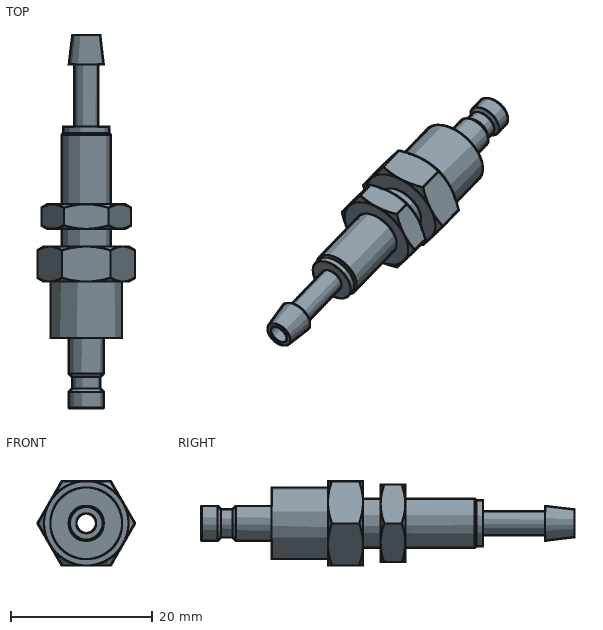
import cadquery as cq
import math

TOTAL_LENGTH = 53.0
BORE_DIAMETER = 2.75

PLUG_DIAMETER = 5.0
PLUG_TIP_CHAMFER = 0.15
GROOVE_DIAMETER = 4.05
GROOVE_START = 2.4
GROOVE_END = 5.0
GROOVE_BEVEL = (PLUG_DIAMETER - GROOVE_DIAMETER) / 2

SLEEVE_DIAMETER = 10.2
SLEEVE_START = 10.0
HEX_START = 18.0
HEX_LENGTH = 5.0
HEX_ACROSS_FLATS = 12.0
SHANK_DIAMETER = 7.0
SHANK_END = 38.8

COLLAR_DIAMETER = 6.55
COLLAR_START = 39.1
COLLAR_END = 40.0
STEM_DIAMETER = 3.45
BARB_START = 48.8
BARB_BASE_DIAMETER = 5.0
BARB_TIP_DIAMETER = 4.0

NUT_START = 25.5
NUT_LENGTH = 3.5
NUT_ACROSS_FLATS = 11.0

HEX_CHAMFER_ANGLE = 30.0


def revolve_profile(points):
    """Revolve (radius, y) points about the Y axis."""
    return cq.Workplane("XY").polyline(points).close().revolve(360, (0, 0), (0, 1))


def cylinder_along_y(diameter, start, end):
    return cq.Workplane("XZ", origin=(0, start, 0)).circle(diameter / 2).extrude(start - end)


def chamfered_hexagon(across_flats, start, length):
    """Hexagonal prism with corners on +/-X and conical chamfers at both ends."""
    flat_radius = across_flats / 2
    corner_radius = flat_radius / math.cos(math.pi / 6)
    chamfer_depth = (corner_radius - flat_radius) * math.tan(math.radians(HEX_CHAMFER_ANGLE))
    end = start + length
    prism = cq.Workplane("XZ", origin=(0, start, 0)).polygon(6, 2 * corner_radius).extrude(-length)
    envelope = revolve_profile([
        (0, start),
        (flat_radius, start),
        (corner_radius, start + chamfer_depth),
        (corner_radius, end - chamfer_depth),
        (flat_radius, end),
        (0, end),
    ])
    return prism.intersect(envelope)


def make_coupling_body():
    plug_radius = PLUG_DIAMETER / 2
    groove_radius = GROOVE_DIAMETER / 2
    sleeve_radius = SLEEVE_DIAMETER / 2
    shank_radius = SHANK_DIAMETER / 2
    collar_radius = COLLAR_DIAMETER / 2
    stem_radius = STEM_DIAMETER / 2
    hex_middle = HEX_START + HEX_LENGTH / 2
    turned = revolve_profile([
        (0, 0),
        (plug_radius - PLUG_TIP_CHAMFER, 0),
        (plug_radius, PLUG_TIP_CHAMFER),
        (plug_radius, GROOVE_START),
        (groove_radius, GROOVE_START + GROOVE_BEVEL),
        (groove_radius, GROOVE_END - GROOVE_BEVEL),
        (plug_radius, GROOVE_END),
        (plug_radius, SLEEVE_START),
        (sleeve_radius, SLEEVE_START),
        (sleeve_radius, hex_middle),
        (shank_radius, hex_middle),
        (shank_radius, SHANK_END),
        (collar_radius, COLLAR_START),
        (collar_radius, COLLAR_END),
        (stem_radius, COLLAR_END),
        (stem_radius, BARB_START),
        (BARB_BASE_DIAMETER / 2, BARB_START),
        (BARB_TIP_DIAMETER / 2, TOTAL_LENGTH),
        (0, TOTAL_LENGTH),
    ])
    hexagon = chamfered_hexagon(HEX_ACROSS_FLATS, HEX_START, HEX_LENGTH)
    bore = cylinder_along_y(BORE_DIAMETER, 0, TOTAL_LENGTH)
    return turned.union(hexagon).cut(bore)


def make_lock_nut():
    hexagon = chamfered_hexagon(NUT_ACROSS_FLATS, NUT_START, NUT_LENGTH)
    shank_hole = cylinder_along_y(SHANK_DIAMETER, NUT_START, NUT_START + NUT_LENGTH)
    return hexagon.cut(shank_hole)


coupling_body = make_coupling_body()
lock_nut = make_lock_nut()

result = cq.Compound.makeCompound([coupling_body.val(), lock_nut.val()])